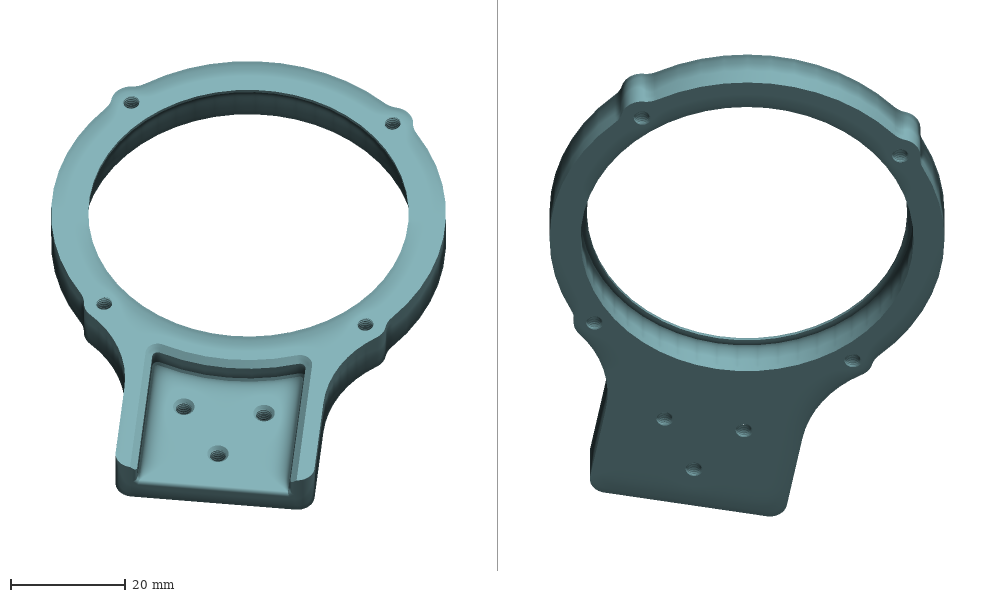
import cadquery as cq
import math

overall = 89.2
thickness = 8.0

ring_radius = 34.5
lip_diameter = 56.0
bore_diameter = 58.2
lip_height = 0.6

bolt_circle_radius = 32.5
lug_radius = 3.6
lug_blend_radius = 4.0
lug_reach = bolt_circle_radius + lug_radius

arm_angle = -45.0
arm_half_width = 17.5
arm_corner_radius = 3.0
arm_blend_radius = 20.0
corner_centre_across = arm_half_width - arm_corner_radius
corner_centre_along = (overall - lug_reach - arm_corner_radius) * math.sqrt(2) - corner_centre_across
arm_end = corner_centre_along + arm_corner_radius

pocket_floor = 4.0
pocket_half_width = 13.5
pocket_back_radius = ring_radius
pocket_corner_radius = 1.0
floor_chamfer = 0.4
mouth_fillet = 0.76
rim_chamfer_width = 1.2
rim_chamfer_depth = 1.0

thread_minor_diameter = 2.8
thread_major_diameter = 3.3
thread_pitch = 0.5
ridge_half_width = 0.22
ridge_overlap = 0.1
countersink_diameter = 3.75
countersink_depth = (countersink_diameter - thread_minor_diameter) / 2
lug_offset = bolt_circle_radius / math.sqrt(2)
lug_hole_places = [
    (lug_offset, lug_offset),
    (lug_offset, -lug_offset),
    (-lug_offset, lug_offset),
    (-lug_offset, -lug_offset),
]
floor_hole_places = [(41.6, 7.05), (41.6, -7.05), (51.55, 0)]

clearance = 0.9
tolerance = 0.01


def between(centre, radius, toward):
    """Point at a given radius from a centre, in the direction of another point."""
    reach = math.dist(centre, toward)
    return tuple(c + (t - c) * radius / reach for c, t in zip(centre, toward))


def arc_middle(centre, radius, start, end):
    """Middle point of the shorter arc from start to end."""
    return between(centre, radius, ((start[0] + end[0]) / 2, (start[1] + end[1]) / 2))


def mirrored(point):
    return (point[0], -point[1])


def make_lug():
    """Lug on the +X side, with concave blends running into the ring."""
    lug_centre = (bolt_circle_radius, 0)
    to_ring = ring_radius + lug_blend_radius
    to_lug = lug_radius + lug_blend_radius
    blend_x = (to_ring**2 - to_lug**2 + bolt_circle_radius**2) / (2 * bolt_circle_radius)
    blend_centre = (blend_x, math.sqrt(to_ring**2 - blend_x**2))
    ring_end = between((0, 0), ring_radius, blend_centre)
    lug_end = between(lug_centre, lug_radius, blend_centre)
    blend_middle = arc_middle(blend_centre, lug_blend_radius, ring_end, lug_end)
    return (
        cq.Workplane("XY")
        .lineTo(*mirrored(ring_end))
        .threePointArc(mirrored(blend_middle), mirrored(lug_end))
        .threePointArc((lug_reach, 0), lug_end)
        .threePointArc(blend_middle, ring_end)
        .close()
        .extrude(thickness)
    )


def make_arm():
    """Arm along +X whose sides sweep in from the two nearest lugs."""
    lug_centre = lug_hole_places[0]
    blend_across = arm_half_width + arm_blend_radius
    blend_reach = math.sqrt((lug_radius + arm_blend_radius)**2 - (blend_across - lug_centre[1])**2)
    blend_centre = (lug_centre[0] + blend_reach, blend_across)
    lug_end = between(lug_centre, lug_radius, blend_centre)
    side_start = (blend_centre[0], arm_half_width)
    blend_middle = arc_middle(blend_centre, arm_blend_radius, lug_end, side_start)
    arm = (
        cq.Workplane("XY")
        .moveTo(*mirrored(lug_centre))
        .lineTo(*mirrored(lug_end))
        .threePointArc(mirrored(blend_middle), mirrored(side_start))
        .lineTo(arm_end, -arm_half_width)
        .lineTo(arm_end, arm_half_width)
        .lineTo(*side_start)
        .threePointArc(blend_middle, lug_end)
        .lineTo(*lug_centre)
        .close()
        .extrude(thickness)
    )
    return arm.edges("|Z and >X").fillet(arm_corner_radius)


def pocket_outline(bottom):
    """Pocket outline at a given height, running out past the arm end."""
    back_corner = (math.sqrt(pocket_back_radius**2 - pocket_half_width**2), pocket_half_width)
    outside = arm_end + 2 * rim_chamfer_width
    return (
        cq.Workplane("XY", origin=(0, 0, bottom))
        .moveTo(*mirrored(back_corner))
        .lineTo(outside, -pocket_half_width)
        .lineTo(outside, pocket_half_width)
        .lineTo(*back_corner)
        .threePointArc((pocket_back_radius, 0), mirrored(back_corner))
        .close()
    )


def cut_pocket(body):
    """Pocket with a curved back, a rounded mouth and chamfers at the floor and rim."""
    pocket = pocket_outline(pocket_floor).extrude(thickness - pocket_floor)
    pocket = pocket.edges("|Z and <X").fillet(pocket_corner_radius)
    rim_bottom = thickness - rim_chamfer_depth
    flare_angle = math.degrees(math.atan2(rim_chamfer_width, rim_chamfer_depth))
    rim_wire = pocket.faces("<Z").wires().val().translate(cq.Vector(0, 0, rim_bottom - pocket_floor))
    rim = cq.Workplane("XY").add(rim_wire).toPending().extrude(rim_chamfer_depth, taper=-flare_angle)
    pocket = pocket.faces("<Z").edges("not >X").chamfer(floor_chamfer)
    body = body.cut(pocket)
    mouth = cq.selectors.BoxSelector(
        (arm_end - tolerance, -pocket_half_width - tolerance, pocket_floor - tolerance),
        (arm_end + tolerance, pocket_half_width + tolerance, thickness - tolerance),
    )
    return body.edges(mouth).fillet(mouth_fillet).cut(rim)


def cut_bore(body):
    """Round opening with a thin lip at the top."""
    opening = cq.Workplane("XY").circle(lip_diameter / 2).extrude(thickness)
    bore = cq.Workplane("XY").circle(bore_diameter / 2).extrude(thickness - lip_height)
    return body.cut(opening).cut(bore)


def make_thread_cutter(thread_top):
    """Tap-shaped tool: a core cylinder with a helical V ridge that stops at the given height."""
    minor_radius = thread_minor_diameter / 2
    major_radius = thread_major_diameter / 2
    helix = cq.Wire.makeHelix(thread_pitch, thread_top + clearance, minor_radius)
    root_radius = minor_radius - ridge_overlap
    ridge = (
        cq.Workplane("XZ")
        .polyline([(root_radius, -ridge_half_width), (major_radius, 0), (root_radius, ridge_half_width)])
        .close()
        .sweep(cq.Workplane("XY").add(helix), isFrenet=True)
        .translate((0, 0, -clearance))
    )
    core_length = thickness + 2 * clearance
    core = cq.Workplane("XY", origin=(0, 0, -clearance)).circle(minor_radius).extrude(core_length)
    return core.union(ridge)


def make_countersink():
    """Cone that eases a threaded hole at the pocket floor."""
    return cq.Workplane(
        cq.Solid.makeCone(
            thread_minor_diameter / 2,
            countersink_diameter / 2,
            countersink_depth,
            cq.Vector(0, 0, pocket_floor - countersink_depth),
        )
    )


def cut_at(body, tool, places):
    for along, across in places:
        body = body.cut(tool.translate((along, across, 0)))
    return body


blank = make_arm().union(cq.Workplane("XY").circle(ring_radius).extrude(thickness))
for lug_angle in (45, 135, 225, 315):
    blank = blank.union(make_lug().rotate((0, 0, 0), (0, 0, 1), lug_angle))
result = cut_pocket(cut_bore(blank))

lug_hole = make_thread_cutter(thickness + clearance / 2)
result = cut_at(result, lug_hole, lug_hole_places)
floor_hole = make_thread_cutter(pocket_floor - countersink_depth).union(make_countersink())
result = cut_at(result, floor_hole, floor_hole_places)

result = result.rotate((0, 0, 0), (0, 0, 1), arm_angle)